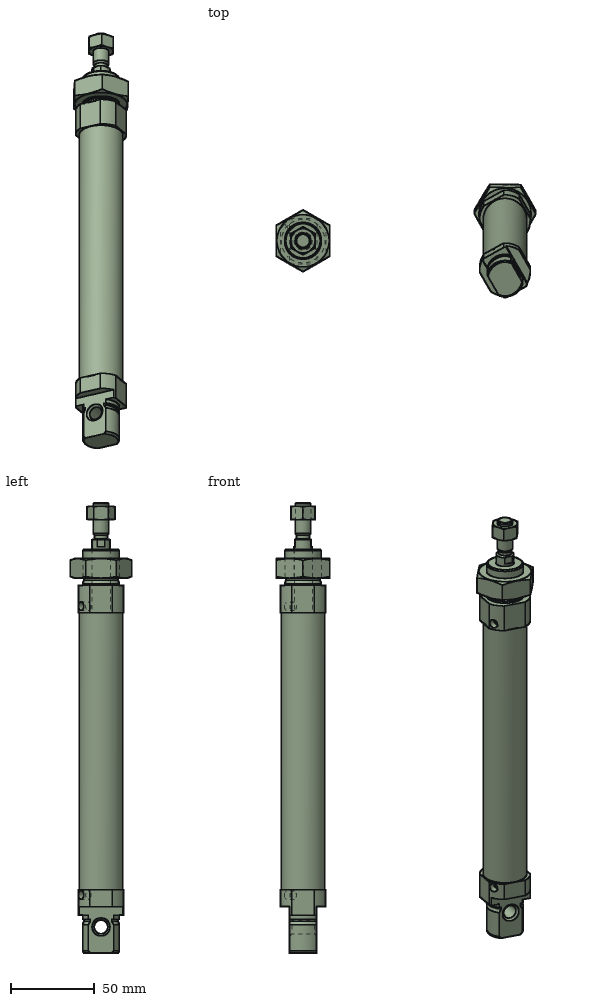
import cadquery as cq
import math

rod_top = 268.5
rod_nut_top = 266.4
rod_nut_bottom = 258.3
stud_bottom = 250.2
undercut_top = 249.0
rod_shoulder = 246.2
wrench_flat_bottom = 242.2
collar_top = 240.5
mount_nut_top = 235.2
mount_nut_bottom = 223.5
front_cap_top = 219.0
front_cap_bottom = 203.0
rear_cap_top = 37.5
tongue_shoulder = 27.7
rear_cap_bottom = 22.5

barrel_diameter = 26.0
cap_across_flats = 27.0
cap_corner_diameter = 30.3
collar_diameter = 22.0
relief_diameter = 20.5
collar_chamfer_height = 0.8
stem_chamfer_height = 1.3
relief_height = 1.0
relief_cone_height = 2.1
rear_relief_top = 20.1
tongue_thickness = 16.0

pin_hole_diameter = 8.0
pin_hole_mouth_diameter = 10.7
pin_hole_height = 15.5

port_diameter = 5.0
port_depth = 5.5
port_angle = 128.0
front_port_height = 206.7
rear_port_height = 34.6

stud_diameter = 9.5
stud_tip_chamfer = 0.8
undercut_diameter = 7.8
rod_diameter = 10.7
shoulder_cone_height = 0.8
rod_across_flats = 9.7

hexagon_sides = 6
rod_nut_across_flats = 14.5
rod_nut_face_diameter = rod_nut_across_flats
mount_nut_across_flats = 32.0
mount_nut_face_diameter = 31.1
nut_chamfer_angle = 20.0


def revolve(profile):
    """Solid of revolution about Z from (radius, height) points; the axis closes the outline."""
    points = [(0, profile[0][1]), *profile, (0, profile[-1][1])]
    return cq.Workplane("XZ").polyline(points).close().revolve(360, (0, 0, 0), (0, 1, 0))


def cylinder(diameter, bottom, top):
    return cq.Workplane("XY").workplane(offset=bottom).circle(diameter / 2).extrude(top - bottom)


def hexagon(across_flats, bottom, top):
    """Hexagonal prism with two flats facing +X and -X."""
    half_sector = 180 / hexagon_sides
    corner_diameter = across_flats / math.cos(math.radians(half_sector))
    prism = cq.Workplane("XY").polygon(hexagon_sides, corner_diameter).extrude(top - bottom)
    return prism.rotate((0, 0, 0), (0, 0, 1), half_sector).translate((0, 0, bottom))


def cap(bottom, top):
    """Square end cap whose corners are turned round."""
    square = cq.Workplane("XY").workplane(offset=bottom).rect(cap_across_flats, cap_across_flats)
    return square.extrude(top - bottom).intersect(cylinder(cap_corner_diameter, bottom, top))


def front_collar():
    """Collar above the front cap, with a relief groove below the mounting nut."""
    collar_radius = collar_diameter / 2
    relief_radius = relief_diameter / 2
    relief_bottom = mount_nut_bottom - relief_height
    return revolve([
        (collar_radius, front_cap_top),
        (collar_radius, relief_bottom - relief_cone_height),
        (relief_radius, relief_bottom),
        (relief_radius, mount_nut_bottom),
        (collar_radius, mount_nut_bottom),
        (collar_radius, collar_top - collar_chamfer_height),
        (relief_radius, collar_top),
    ])


def tongue_blank():
    """Round stem below the rear cap, with a relief groove and a chamfered end."""
    stem_radius = collar_diameter / 2
    relief_radius = relief_diameter / 2
    relief_bottom = rear_relief_top - relief_height
    return revolve([
        (relief_radius, 0),
        (stem_radius, stem_chamfer_height),
        (stem_radius, relief_bottom - relief_cone_height),
        (relief_radius, relief_bottom),
        (relief_radius, rear_relief_top),
        (stem_radius, rear_relief_top),
        (stem_radius, rear_cap_bottom),
    ])


def pin_hole():
    """Hole along X with a 45 degree countersink at both tongue faces."""
    half_thickness = tongue_thickness / 2
    hole_radius = pin_hole_diameter / 2
    mouth_radius = pin_hole_mouth_diameter / 2
    sink_depth = mouth_radius - hole_radius
    return revolve([
        (mouth_radius, -half_thickness),
        (hole_radius, sink_depth - half_thickness),
        (hole_radius, half_thickness - sink_depth),
        (mouth_radius, half_thickness),
    ]).rotate((0, 0, 0), (0, 1, 0), 90).translate((0, 0, pin_hole_height))


def port(height):
    """Radial air port drilled into a rounded cap corner."""
    floor_radius = cap_corner_diameter / 2 - port_depth
    drill = cq.Workplane("YZ").workplane(offset=floor_radius).circle(port_diameter / 2)
    drill = drill.extrude(cap_corner_diameter / 2)
    return drill.rotate((0, 0, 0), (0, 0, 1), port_angle).translate((0, 0, height))


def rod_body():
    stud_radius = stud_diameter / 2
    undercut_radius = undercut_diameter / 2
    rod_radius = rod_diameter / 2
    rod = revolve([
        (rod_radius, front_cap_bottom),
        (rod_radius, rod_shoulder),
        (undercut_radius, rod_shoulder + shoulder_cone_height),
        (undercut_radius, undercut_top),
        (stud_radius, stud_bottom),
        (stud_radius, rod_top - stud_tip_chamfer),
        (stud_radius - stud_tip_chamfer, rod_top),
    ])
    flat_offset = rod_across_flats / 2
    flat_height = rod_shoulder + shoulder_cone_height - wrench_flat_bottom
    for side in (-1, 1):
        milled = cq.Workplane("XY").box(rod_diameter, rod_diameter, flat_height)
        flat_center = side * (flat_offset + rod_diameter / 2)
        rod = rod.cut(milled.translate((flat_center, 0, wrench_flat_bottom + flat_height / 2)))
    return rod


def housing_body():
    rear_cap = cap(rear_cap_bottom, rear_cap_top)
    rear_end = rear_cap.union(tongue_blank())
    for side in (-1, 1):
        cheek = cq.Workplane("XY").box(cap_across_flats, 2 * cap_across_flats, tongue_shoulder)
        cheek_center = side * (tongue_thickness + cap_across_flats) / 2
        rear_end = rear_end.cut(cheek.translate((cheek_center, 0, tongue_shoulder / 2)))
    rear_end = rear_end.cut(pin_hole())

    housing = cylinder(barrel_diameter, rear_cap_top, front_cap_bottom)
    housing = housing.union(rear_end)
    housing = housing.union(cap(front_cap_bottom, front_cap_top))
    housing = housing.union(front_collar())
    for height in (front_port_height, rear_port_height):
        housing = housing.cut(port(height))
    return housing.cut(cylinder(rod_diameter, front_cap_bottom, collar_top))


def hex_nut(across_flats, face_diameter, bore_diameter, bottom, top):
    """Hexagonal nut with its corners turned to a cone on both faces."""
    nut = hexagon(across_flats, bottom, top)
    face_radius = face_diameter / 2
    half_height = (top - bottom) / 2
    reach = half_height / math.tan(math.radians(nut_chamfer_angle))
    turned = revolve([
        (face_radius, bottom),
        (face_radius + reach, bottom + half_height),
        (face_radius, top),
    ])
    return nut.intersect(turned).cut(cylinder(bore_diameter, bottom, top))


def rod_nut_body():
    return hex_nut(rod_nut_across_flats, rod_nut_face_diameter, stud_diameter, rod_nut_bottom, rod_nut_top)


def mount_nut_body():
    return hex_nut(
        mount_nut_across_flats, mount_nut_face_diameter, collar_diameter, mount_nut_bottom, mount_nut_top
    )


housing = housing_body()
piston_rod = rod_body()
rod_nut = rod_nut_body()
mount_nut = mount_nut_body()

result = cq.Compound.makeCompound([housing.val(), piston_rod.val(), rod_nut.val(), mount_nut.val()])